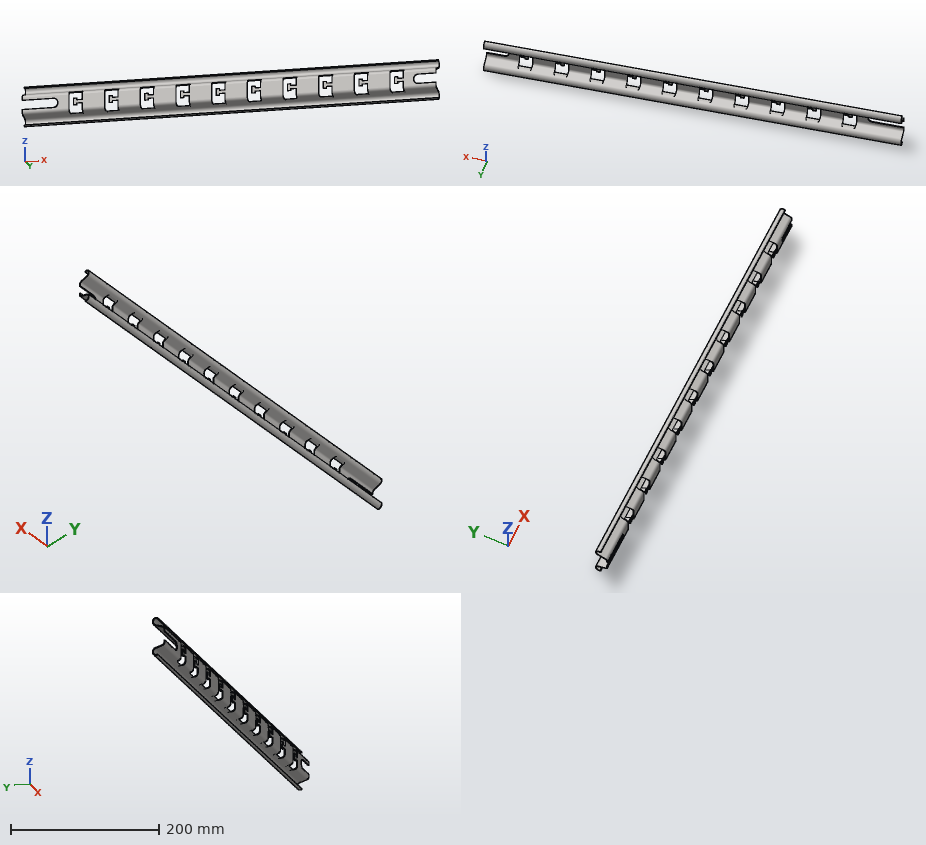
import cadquery as cq
import math

length = 580.0
depth = 18.0
height = 55.0

sheet = 1.5
half_sheet = sheet / 2
flange_angle = math.radians(17)
web_bend_radius = 4.0
hook_radius = 5.45
lip_radius = 2.7
lip_start = math.radians(70)
lip_end = math.radians(145)

window_count = 10
first_window_x = 65.5
last_window_x = 515.5
window_width = 18.5
window_height = 29.5
window_corner_radius = 1.0
tab_length = 12.0
tab_stem_height = 4.5
tab_head_height = 9.0
tab_head_width = 4.5
window_pitch = (last_window_x - first_window_x) / (window_count - 1)

slot_height = 13.0
left_slot_length = 50.0
right_slot_length = 31.5

hook_y = depth - half_sheet - hook_radius
lip_y = hook_y + (hook_radius - lip_radius) * math.cos(lip_start)
lip_z = height / 2 - half_sheet - lip_radius
hook_z = lip_z - (hook_radius - lip_radius) * math.sin(lip_start)
bend_y = half_sheet + web_bend_radius
bend_z = (
    hook_z
    - (hook_y - bend_y) * math.tan(flange_angle)
    - (hook_radius + web_bend_radius) / math.cos(flange_angle)
)


def arc(y, z, radius, start, end):
    """Start, middle and end point of an arc about (y, z)."""
    return [
        (y + radius * math.cos(angle), z + radius * math.sin(angle))
        for angle in (start, (start + end) / 2, end)
    ]


def half_face(offset):
    """Arcs of one face of the upper half, from web to lip.

    offset is the distance from the middle of the sheet, positive towards the inside of the hook.
    """
    quarter = math.pi / 2
    bend = arc(bend_y, bend_z, web_bend_radius + offset, math.pi, quarter + flange_angle)
    hook = arc(hook_y, hook_z, hook_radius - offset, flange_angle - quarter, lip_start)
    lip = arc(lip_y, lip_z, lip_radius - offset, lip_start, lip_end)
    return bend, hook, lip


def make_rail():
    front_bend, front_hook, front_lip = half_face(half_sheet)
    back_bend, back_hook, back_lip = half_face(-half_sheet)
    upper_half = (
        cq.Workplane("YZ")
        .moveTo(0, 0)
        .lineTo(*front_bend[0])
        .threePointArc(*front_bend[1:])
        .lineTo(*front_hook[0])
        .threePointArc(*front_hook[1:])
        .threePointArc(*front_lip[1:])
        .lineTo(*back_lip[2])
        .threePointArc(back_lip[1], back_lip[0])
        .threePointArc(back_hook[1], back_hook[0])
        .lineTo(*back_bend[2])
        .threePointArc(back_bend[1], back_bend[0])
        .lineTo(sheet, 0)
        .close()
        .extrude(length)
    )
    return upper_half.union(upper_half.mirror("XY")).clean()


def block(x, width, z_height):
    """Block from x to x + width, centred on Z = 0, as deep as the rail."""
    shape = cq.Workplane("XY").box(width, depth, z_height, centered=(False, False, True))
    return shape.translate((x, 0, 0))


def make_window(x):
    opening = block(x, window_width, window_height).edges("|Y").fillet(window_corner_radius)
    tab_x = x + window_width - tab_length
    head = block(tab_x, tab_head_width, tab_head_height)
    stem = block(tab_x, tab_length, tab_stem_height)
    return opening.cut(head).cut(stem)


def make_end_slot(end_x, slot_length):
    """Round-ended slot reaching slot_length to either side of end_x."""
    return (
        cq.Workplane("XZ")
        .center(end_x, 0)
        .slot2D(2 * slot_length, slot_height)
        .extrude(-depth)
    )


result = make_rail()
for index in range(window_count):
    result = result.cut(make_window(first_window_x + index * window_pitch))
result = result.cut(make_end_slot(0, left_slot_length))
result = result.cut(make_end_slot(length, right_slot_length))